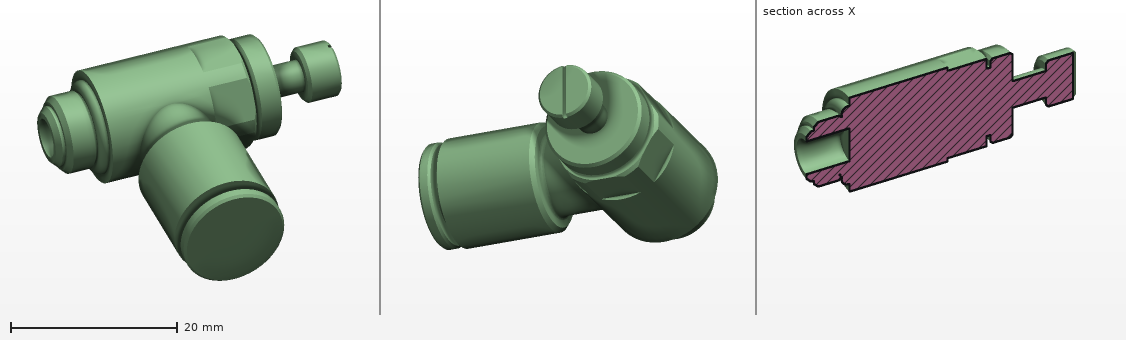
import cadquery as cq


body_radius = 7.0
body_top = 10.35
body_bottom = -8.37
body_chamfer = 0.4
hex_across_flats = 13.0
hex_length = 5.35
hex_sides = 6

head_radius = 3.45
head_top = 22.66
head_height = 4.3
head_top_chamfer = 0.3
head_bottom_chamfer = 0.4
stem_radius = 2.0
slot_width = 0.5
slot_depth = 0.55

nut_radius = 6.3
nut_bottom = 10.8
nut_top = 13.87
nut_chamfer = 0.35
neck_radius = 5.05

thread_radius = 4.83
thread_top = -9.45
thread_bottom = -13.2
thread_top_chamfer = 0.35
thread_end_chamfer = 0.6
ring_section_radius = 1.0
tip_radius = 3.75
tip_bottom = -14.24
tip_chamfer = 0.65
bore_radius = 2.4
bore_depth = body_bottom - tip_bottom

branch_radius = 4.9
branch_fillet = 0.5
collar_radius = 6.75
collar_start = 10.55
collar_end = 23.35
collar_face_rise = 0.22
collar_chamfer = 0.53
groove_radius = 4.55
flange_radius = 6.5
flange_start = 24.4
flange_end = 26.0
flange_chamfer = 0.3


def cylinder_along_y(radius, bottom, top):
    """Cylinder about the valve axis between two Y positions."""
    return cq.Workplane("XZ", origin=(0, top, 0)).circle(radius).extrude(top - bottom)


def cylinder_along_x(radius, start, end):
    """Cylinder about the branch axis between two X positions."""
    return cq.Workplane("YZ", origin=(start, 0, 0)).circle(radius).extrude(end - start)


def make_body():
    """Round body with six wrench flats below its chamfered upper rim."""
    body = cylinder_along_y(body_radius, body_bottom, body_top)
    body = body.faces(">Y").chamfer(body_chamfer)
    across_corners = hex_across_flats * 2 / 3 ** 0.5
    hexagon = (
        cq.Workplane("XZ", origin=(0, body_top, 0))
        .polygon(hex_sides, across_corners)
        .extrude(hex_length)
    )
    outside_hexagon = cylinder_along_y(across_corners, body_top - hex_length, body_top).cut(hexagon)
    return body.cut(outside_hexagon)


def make_needle():
    """Adjustment head with a screwdriver slot along Z, and its stem."""
    head_bottom = head_top - head_height
    head = cylinder_along_y(head_radius, head_bottom, head_top)
    head = head.faces(">Y").chamfer(head_top_chamfer)
    head = head.faces("<Y").chamfer(head_bottom_chamfer)
    slot = cq.Workplane("XY").box(slot_width, 2 * slot_depth, 2 * head_radius)
    head = head.cut(slot.translate((0, head_top, 0)))
    return head.union(cylinder_along_y(stem_radius, nut_top, head_bottom))


def make_lock_nut():
    """Round lock nut on the neck above the body."""
    nut = cylinder_along_y(nut_radius, nut_bottom, nut_top)
    nut = nut.faces("<Y or >Y").chamfer(nut_chamfer)
    return nut.union(cylinder_along_y(neck_radius, body_top, nut_bottom))


def make_port():
    """Sealing ring, threaded shank and stepped tip, before boring."""
    shank = cylinder_along_y(thread_radius, thread_bottom, thread_top)
    shank = shank.faces(">Y").chamfer(thread_top_chamfer)
    shank = shank.faces("<Y").chamfer(thread_end_chamfer)
    root = cylinder_along_y(thread_radius - thread_top_chamfer, thread_top, body_bottom)
    tip = cylinder_along_y(tip_radius, tip_bottom, thread_bottom)
    tip = tip.faces("<Y").chamfer(tip_chamfer)
    ring = (
        cq.Workplane("XY")
        .center(thread_radius, thread_top + ring_section_radius)
        .circle(ring_section_radius)
        .revolve(360, (-thread_radius, 0), (-thread_radius, 1))
    )
    return shank.union(root).union(tip).union(ring)


def make_port_bore():
    """Blind bore entering the port from its tip."""
    return cylinder_along_y(bore_radius, tip_bottom, tip_bottom + bore_depth)


def make_branch():
    """Side branch ending in a collar and a tube release flange."""
    rim_start = collar_start + collar_face_rise
    branch = (
        cq.Workplane("XY")
        .lineTo(0, branch_radius)
        .lineTo(collar_start, branch_radius)
        .lineTo(rim_start, collar_radius - collar_chamfer)
        .lineTo(rim_start + collar_chamfer, collar_radius)
        .lineTo(collar_end, collar_radius)
        .lineTo(collar_end, 0)
        .close()
        .revolve(360, (0, 0), (1, 0))
    )
    neck_corner = cq.selectors.BoxSelector(
        (collar_start - branch_fillet, -collar_radius, -collar_radius),
        (collar_start + collar_face_rise / 2, collar_radius, collar_radius),
        boundingbox=True,
    )
    branch = branch.edges(neck_corner).fillet(branch_fillet)
    flange = cylinder_along_x(flange_radius, flange_start, flange_end)
    flange = flange.faces("<X or >X").chamfer(flange_chamfer)
    groove = cylinder_along_x(groove_radius, collar_end, flange_start)
    return branch.union(groove).union(flange)


result = (
    make_body()
    .union(make_lock_nut())
    .union(make_needle())
    .union(make_branch())
    .union(make_port())
    .cut(make_port_bore())
)